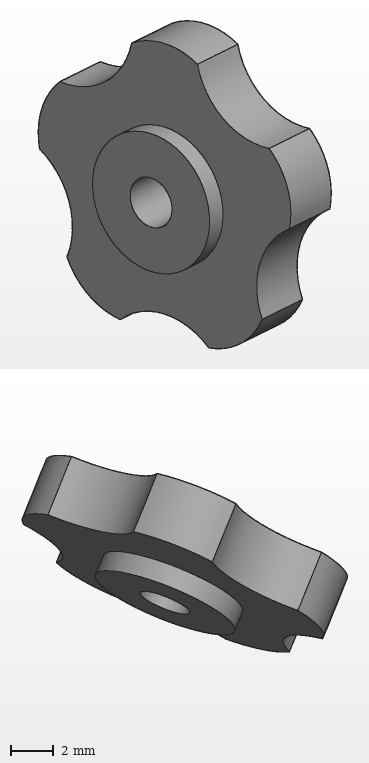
import cadquery as cq
import math

overall_width = 15.11
overall_depth = 4.0
plate_thickness = 3.0
hub_diameter = 7.0
bore_diameter = 2.5
lobe_count = 5
lobe_radius = 4.0
scallop_radius = 4.0
scallop_center_distance = 10.0

lobe_pitch = 360 / lobe_count
side_lobe_angle = 90 - lobe_pitch
lobe_center_distance = (overall_width / 2 - lobe_radius) / math.cos(math.radians(side_lobe_angle))
hub_height = overall_depth - plate_thickness


def plate_cylinder(center_distance, angle, radius):
    """Cylinder through the plate thickness, centered at a polar position about the Y axis."""
    center_x = center_distance * math.cos(math.radians(angle))
    center_z = center_distance * math.sin(math.radians(angle))
    return (
        cq.Workplane("XZ", origin=(0, plate_thickness, 0))
        .center(center_x, center_z)
        .circle(radius)
        .extrude(plate_thickness)
    )


lobe_angles = [90 + i * lobe_pitch for i in range(lobe_count)]
plate = plate_cylinder(lobe_center_distance, lobe_angles[0], lobe_radius)
for lobe_angle in lobe_angles[1:]:
    plate = plate.union(plate_cylinder(lobe_center_distance, lobe_angle, lobe_radius))

for lobe_angle in lobe_angles:
    scallop_angle = lobe_angle + lobe_pitch / 2
    plate = plate.cut(plate_cylinder(scallop_center_distance, scallop_angle, scallop_radius))

hub = cq.Workplane("XZ").circle(hub_diameter / 2).extrude(hub_height)

bore = (
    cq.Workplane("XZ", origin=(0, plate_thickness, 0))
    .circle(bore_diameter / 2)
    .extrude(overall_depth)
)

result = plate.union(hub).cut(bore).clean()